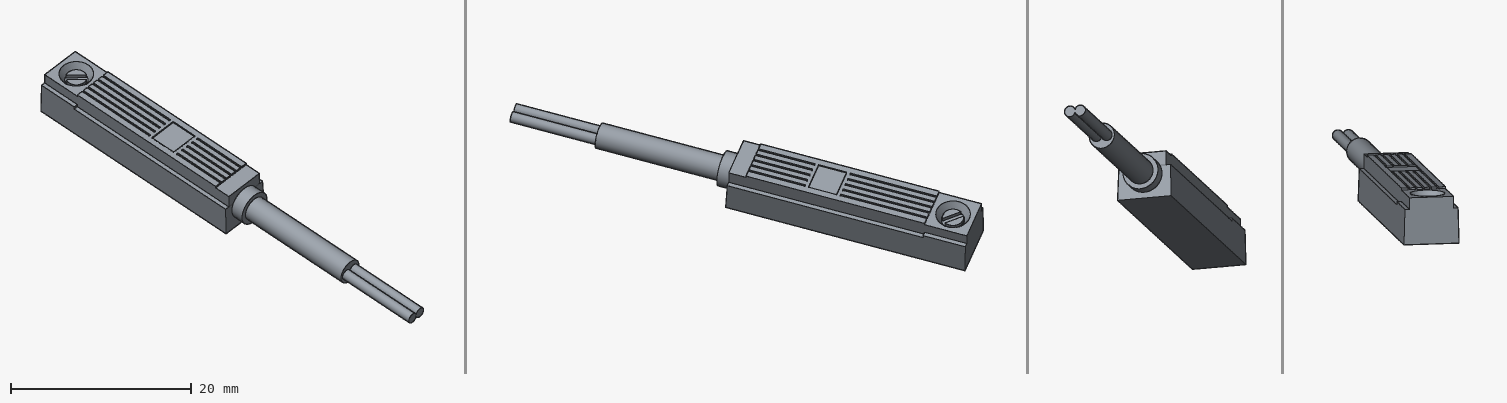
import cadquery as cq

total_length = 54
base_length = 28.1
base_width = 6.2
total_height = 5.5
side_draft = 0.1
end_draft = 0.15
front_ledge_z = 4.0
ledge_z = 3.65
block_width = 4.95
block_length = base_length - end_draft
block_top_z = 5.3

pad_start = 4.95
pad_end = 25.9
groove_width = 0.2
groove_pitch = 0.8
groove_count = 5
groove_depth = total_height - block_top_z
window_start = 15.55
window_length = 3.3
window_width = 3.45
window_depth = 0.15
window_margin = 0.45

screw_x = pad_start / 2
recess_diameter = 3.85
floor_diameter = 2.6
recess_depth = 0.95
slot_width = 0.7
head_diameter = 2.4
head_height = 0.45
slot_angle = 45

cable_z = 2.7
relief_diameter = 4.05
relief_end = 29.5
cable_diameter = 2.9
cable_end = 43.95
wire_diameter = 1.25
wire_spacing = 1.2


def box_between(x_start, x_end, width, z_bottom, z_top):
    """Box centred on Y = 0."""
    return cq.Workplane("XY").box(
        x_end - x_start, width, z_top - z_bottom, centered=(False, True, False)
    ).translate((x_start, 0, z_bottom))


def rod(x_start, x_end, diameter, y=0):
    """Round bar along X at the cable height."""
    return (
        cq.Workplane("YZ", origin=(x_start, y, cable_z))
        .circle(diameter / 2)
        .extrude(x_end - x_start)
    )


def drafted_base():
    """Base with leaning long sides and cable end, and a higher ledge at the front."""
    half_width = base_width / 2
    half_top = half_width - side_draft
    cross_section = (
        cq.Workplane("YZ")
        .polyline([
            (-half_width, 0),
            (half_width, 0),
            (half_top, front_ledge_z),
            (-half_top, front_ledge_z),
        ])
        .close()
        .extrude(base_length)
    )
    side_profile = (
        cq.Workplane("XZ")
        .polyline([
            (0, 0),
            (base_length, 0),
            (block_length, ledge_z),
            (pad_start, ledge_z),
            (pad_start, front_ledge_z),
            (0, front_ledge_z),
        ])
        .close()
        .extrude(half_width, both=True)
    )
    return cross_section.intersect(side_profile)


def grip_grooves(x_start, x_end):
    """Row of parallel grooves cut down to the block top."""
    grooves = cq.Workplane("XY")
    for index in range(groove_count):
        y = (index - (groove_count - 1) / 2) * groove_pitch
        groove = box_between(x_start, x_end, groove_width, total_height - groove_depth, total_height)
        grooves = grooves.add(groove.translate((0, y, 0)))
    return grooves.combine()


def screw_recess():
    """Conical recess around a standing screw head that keeps its diagonal driver slot open."""
    floor_z = block_top_z - recess_depth
    floor = cq.Workplane("XY", origin=(screw_x, 0, floor_z))
    cone = (
        floor
        .circle(floor_diameter / 2)
        .workplane(offset=recess_depth)
        .circle(recess_diameter / 2)
        .loft()
    )
    slot = (
        floor
        .box(recess_diameter, slot_width, head_height, centered=(True, True, False))
        .rotate((screw_x, 0, 0), (screw_x, 0, 1), slot_angle)
    )
    head = floor.circle(head_diameter / 2).extrude(head_height).cut(slot)
    return cone.cut(head)


block = box_between(0, block_length, block_width, 0, block_top_z)
pad = box_between(pad_start, pad_end, block_width, block_top_z, total_height)
window_end = window_start + window_length
window = box_between(window_start, window_end, window_width, total_height - window_depth, total_height)

housing = (
    drafted_base()
    .union(block)
    .union(pad)
    .cut(grip_grooves(pad_start, window_start - window_margin))
    .cut(grip_grooves(window_end + window_margin, pad_end))
    .cut(window)
    .cut(screw_recess())
)

result = (
    housing
    .union(rod(block_length - end_draft, relief_end, relief_diameter))
    .union(rod(relief_end, cable_end, cable_diameter))
)
wires = rod(cable_end, total_length, wire_diameter, -wire_spacing / 2).union(
    rod(cable_end, total_length, wire_diameter, wire_spacing / 2)
)
result = result.union(wires)